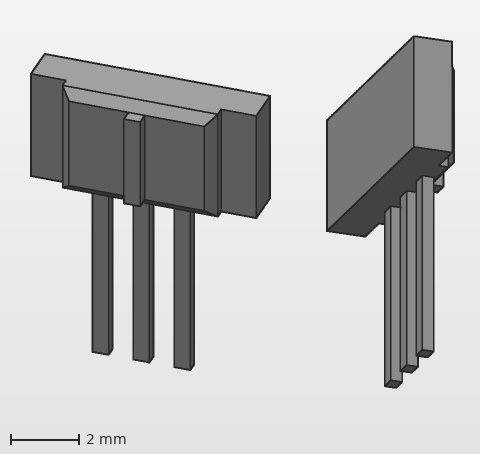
import cadquery as cq

overall_height = 9.0
body_width = 7.0
body_height = 3.5
body_depth = 1.2

panel_width = 4.82
panel_wall_depth = 0.3
bevel = 0.31

rib_width = 0.5
rib_depth = 0.4

lead_count = 3
lead_pitch = 1.27
lead_width = 0.5
lead_thickness = 0.36
lead_setback = 1.035
lead_length = overall_height - body_height

body_front = -body_depth
panel_front = body_front - panel_wall_depth - bevel
rib_front = panel_front - rib_depth


def block(width, y_front, y_back, z_bottom, z_top, x_center=0):
    """Box centred on x_center, spanning the given Y and Z limits."""
    return (
        cq.Workplane("XY")
        .box(width, y_back - y_front, z_top - z_bottom, centered=(True, False, False))
        .translate((x_center, y_front, z_bottom))
    )


body = block(body_width, body_front, 0, 0, body_height)

panel = block(panel_width, panel_front, body_front, 0, body_height)
panel = panel.faces("<Y").edges().chamfer(bevel)

rib = block(rib_width, rib_front, panel_front, bevel, body_height - bevel)

result = body.union(panel).union(rib)

lead_back = -lead_setback
lead_front = lead_back - lead_thickness
for index in range(lead_count):
    lead_x = (index - (lead_count - 1) / 2) * lead_pitch
    lead = block(lead_width, lead_front, lead_back, -lead_length, 0, lead_x)
    result = result.union(lead)